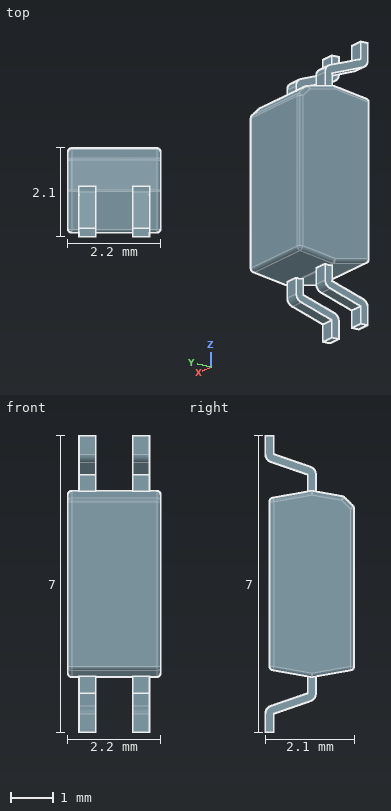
import cadquery as cq
import math


body_width = 2.2
body_depth = 2.0
body_length = 4.4
draft_angle = 10
edge_radius = 0.1
pin_one_bevel = 0.25

overall_length = 7.0
lead_pitch = 1.27
lead_width = 0.4
lead_thickness = 0.2
lead_slope = 19
foot_length = 0.435
standoff = 0.1
lead_embed = 0.35

half_depth = body_depth / 2


def end_height(y):
    """Height of the upper end face at a given Y, highest at the ridge."""
    return body_length / 2 - abs(y) * math.tan(math.radians(draft_angle))


def make_body():
    """Block with ridged ends and one bevelled edge, rounded on every edge."""
    bevel_y = half_depth - pin_one_bevel
    bevel_top = end_height(bevel_y)
    corner_height = end_height(half_depth)
    outline = [
        (0, body_length / 2),
        (bevel_y, bevel_top),
        (half_depth, bevel_top - pin_one_bevel),
        (half_depth, -corner_height),
        (0, -body_length / 2),
        (-half_depth, -corner_height),
        (-half_depth, corner_height),
    ]
    block = cq.Workplane("YZ").polyline(outline).close().extrude(body_width / 2, both=True)
    return block.edges().fillet(edge_radius)


def make_upper_lead(x):
    """Gull-wing lead with sharp inner bends and outer bends rounded about them."""
    slope = math.radians(lead_slope)
    half_thickness = lead_thickness / 2
    tip_z = overall_length / 2
    root_z = body_length / 2 - lead_embed
    underside_y = -half_depth - standoff

    foot_y = underside_y + lead_thickness
    foot_z = tip_z - foot_length
    shoulder_y = -half_thickness
    run = shoulder_y - foot_y
    rise = (lead_thickness + run * math.sin(slope)) / math.cos(slope)
    shoulder_z = foot_z - rise

    def around(corner_y, corner_z, angle):
        """Point one lead thickness from an inner corner."""
        return (corner_y + lead_thickness * math.cos(angle), corner_z + lead_thickness * math.sin(angle))

    across_slope = math.pi / 2 - slope
    profile = (
        cq.Workplane("YZ", origin=(x, 0, 0))
        .moveTo(shoulder_y, root_z)
        .lineTo(shoulder_y, shoulder_z)
        .lineTo(*around(foot_y, foot_z, across_slope + math.pi))
        .threePointArc(
            around(foot_y, foot_z, across_slope / 2 + math.pi),
            (underside_y, foot_z),
        )
        .lineTo(underside_y, tip_z)
        .lineTo(foot_y, tip_z)
        .lineTo(foot_y, foot_z)
        .lineTo(*around(shoulder_y, shoulder_z, across_slope))
        .threePointArc(
            around(shoulder_y, shoulder_z, across_slope / 2),
            (half_thickness, shoulder_z),
        )
        .lineTo(half_thickness, root_z)
        .close()
    )
    return profile.extrude(lead_width / 2, both=True)


result = make_body()
for lead_x in (-lead_pitch / 2, lead_pitch / 2):
    upper_lead = make_upper_lead(lead_x)
    result = result.union(upper_lead).union(upper_lead.mirror("XY"))